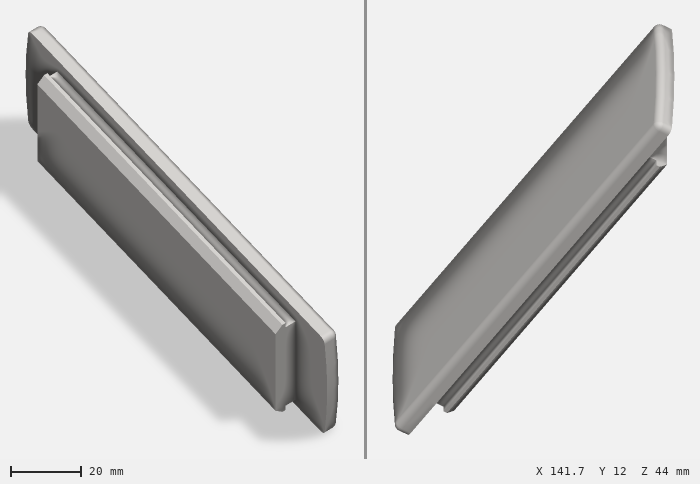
import cadquery as cq

plate_length = 141.7
plate_height = 44.0
plate_thickness = 5.0
end_bulge = 1.4
corner_radius = 2.0
rim_radius = 2.0

insert_length = 112.0
neck_depth = 3.5
flange_depth = 3.5
lip_depth = 1.1
flange_height = 40.2
flange_bottom_gap = 0.35
flange_overhang = 2.0


def make_plate():
    """Plate with bowed ends, rounded corners and a rounded +Y rim."""
    end_x = plate_length / 2
    corner_x = end_x - end_bulge
    top_z = plate_height / 2
    blank = (
        cq.Workplane("XZ")
        .moveTo(-corner_x, top_z)
        .lineTo(corner_x, top_z)
        .threePointArc((end_x, 0), (corner_x, -top_z))
        .lineTo(-corner_x, -top_z)
        .threePointArc((-end_x, 0), (-corner_x, top_z))
        .close()
        .extrude(plate_thickness)
    )
    return blank.edges("|Y").fillet(corner_radius).faces(">Y").edges().fillet(rim_radius)


def make_insert():
    """T-shaped profile in the YZ plane, run along X and centred on the plate."""
    neck_y = -plate_thickness
    flange_y = neck_y - neck_depth
    front_y = flange_y - flange_depth
    bevel_y = flange_y - lip_depth
    bevel = flange_depth - lip_depth

    flange_bottom = -plate_height / 2 + flange_bottom_gap
    flange_top = flange_bottom + flange_height
    neck_bottom = flange_bottom + flange_overhang
    neck_top = flange_top - flange_overhang

    profile = [
        (neck_y, neck_top),
        (flange_y, neck_top),
        (flange_y, flange_top),
        (bevel_y, flange_top),
        (front_y, flange_top - bevel),
        (front_y, flange_bottom + bevel),
        (bevel_y, flange_bottom),
        (flange_y, flange_bottom),
        (flange_y, neck_bottom),
        (neck_y, neck_bottom),
    ]
    return cq.Workplane("YZ").polyline(profile).close().extrude(insert_length / 2, both=True)


result = make_plate().union(make_insert())